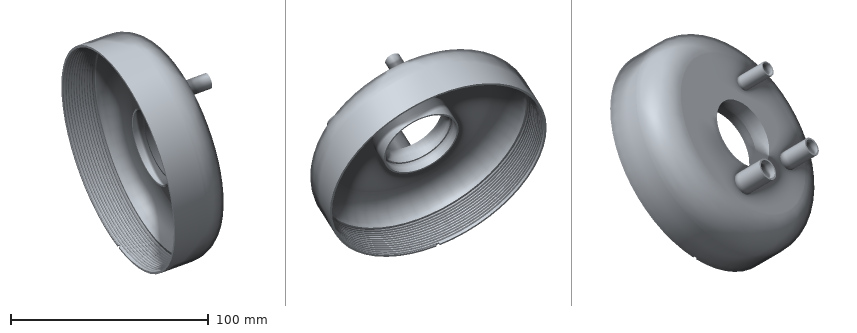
import cadquery as cq
import math

outer_radius = 61.3
cup_height = 34.2
total_length = 51.6
corner_radius = 15.9
wall = 2.7
plate_face_radius = 46.3

thread_bore_radius = 60.1
thread_pitch = 1.5
thread_depth = 0.7
thread_turns = 11.3
thread_half_width = 0.4 * thread_pitch
thread_overlap = 0.1
notch_width = 1.8
notch_depth = 1.0

hub_radius = 21.1
hub_bore_radius = 19.0
hub_recess_radius = 20.1
hub_recess_depth = 6.0
hub_height = 12.4

post_circle_radius = 32.0
posts = [
    (90, 4.2, 3.5),
    (180, 5.0, 4.0),
    (270, 6.0, 5.0),
]

inner_radius = outer_radius - wall
inner_corner_radius = corner_radius - wall
corner_centre_radius = outer_radius - corner_radius
corner_centre_y = cup_height - corner_radius
plate_inner_y = corner_centre_y + math.sqrt(
    inner_corner_radius**2 - (plate_face_radius - corner_centre_radius) ** 2
)


def cylinder(radius, y_start, y_end, x=0, z=0):
    """Solid cylinder along Y between two Y positions."""
    direction = cq.Vector(0, 1, 0)
    return cq.Workplane(cq.Solid.makeCylinder(radius, y_end - y_start, cq.Vector(x, y_start, z), direction))


def make_cup():
    """Cup with concentric rounded corners and a wider bore at the mouth."""
    outside = cylinder(outer_radius, 0, cup_height).faces(">Y").edges().fillet(corner_radius)
    arc_middle = (
        corner_centre_radius + inner_corner_radius * math.cos(math.pi / 4),
        corner_centre_y + inner_corner_radius * math.sin(math.pi / 4),
    )
    cavity = (
        cq.Workplane("XY")
        .lineTo(inner_radius, 0)
        .lineTo(inner_radius, corner_centre_y)
        .threePointArc(arc_middle, (plate_face_radius, plate_inner_y))
        .lineTo(0, plate_inner_y)
        .close()
        .revolve(360, (0, 0, 0), (0, 1, 0))
    )
    return outside.cut(cavity).cut(cylinder(thread_bore_radius, 0, corner_centre_y))


def make_thread_groove():
    """Right-handed V groove that starts at the -Z side of the mouth."""
    helix = cq.Wire.makeHelix(thread_pitch, thread_turns * thread_pitch, thread_bore_radius)
    base_radius = thread_bore_radius - thread_overlap
    profile = (
        cq.Workplane("XZ")
        .moveTo(base_radius, -thread_half_width)
        .lineTo(thread_bore_radius + thread_depth, 0)
        .lineTo(base_radius, thread_half_width)
        .close()
    )
    groove = profile.sweep(cq.Workplane(helix), isFrenet=True)
    groove = groove.rotate((0, 0, 0), (1, 0, 0), -90).rotate((0, 0, 0), (0, 1, 0), 90)
    return groove.translate((0, thread_half_width, 0))


def make_rim_notch():
    """Small notch through the rim where the thread starts."""
    length = outer_radius - inner_radius
    return cq.Workplane("XY").box(notch_width, 2 * notch_depth, length).translate(
        (0, 0, -(outer_radius + inner_radius) / 2)
    )


def add_hub(body):
    """Add the inner hub with its through bore and stepped recess."""
    hub_end_y = plate_inner_y - hub_height
    body = body.union(cylinder(hub_radius, hub_end_y, cup_height))
    body = body.cut(cylinder(hub_bore_radius, hub_end_y, cup_height))
    return body.cut(cylinder(hub_recess_radius, hub_end_y, hub_end_y + hub_recess_depth))


def add_posts(body):
    """Add the hollow posts on the outside of the plate."""
    for angle, post_radius, hole_radius in posts:
        x = post_circle_radius * math.cos(math.radians(angle))
        z = post_circle_radius * math.sin(math.radians(angle))
        body = body.union(cylinder(post_radius, plate_inner_y, total_length, x, z))
        body = body.cut(cylinder(hole_radius, plate_inner_y, total_length, x, z))
    return body


result = add_posts(add_hub(make_cup()))
result = result.cut(make_thread_groove()).cut(make_rim_notch())